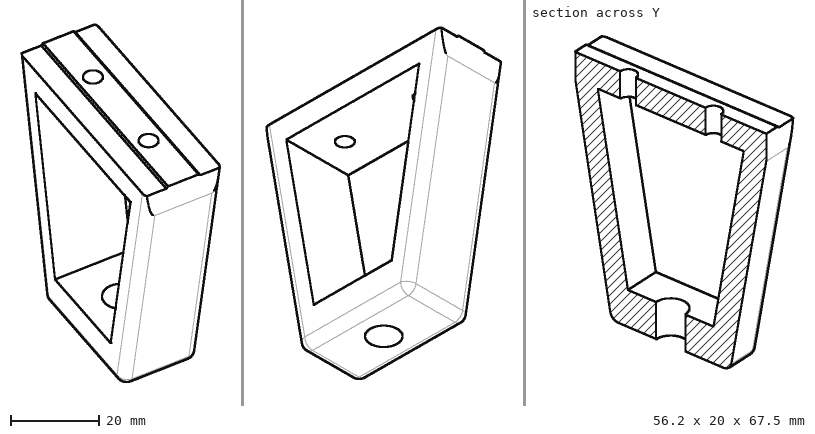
import cadquery as cq
import math

width = 56.15
depth = 20.0
height = 67.5

side_angle = 10.0
edge_radius = 2.5
bar_height = 6.9
window_bottom = 10.0
window_bottom_width = 25.0

strip_height = 0.5
strip_top_width = 8.0
strip_base_width = strip_top_width + 2 * strip_height

mount_hole_diameter = 4.5
mount_hole_spacing = window_bottom_width
base_hole_diameter = 8.5

shoulder = height - strip_height
window_top = shoulder - bar_height
taper = math.tan(math.radians(side_angle))


def tapered_block(bottom_width, bottom, top, thickness):
    """Symmetric block between two heights whose sides lean outward at the side angle."""
    bottom_half = bottom_width / 2
    top_half = bottom_half + (top - bottom) * taper
    return (
        cq.Workplane("XZ")
        .polyline([
            (-bottom_half, bottom),
            (bottom_half, bottom),
            (top_half, top),
            (-top_half, top),
        ])
        .close()
        .extrude(thickness / 2, both=True)
    )


def vertical_hole(x, diameter, bottom, top):
    return (
        cq.Workplane("XY", origin=(x, 0, bottom))
        .circle(diameter / 2)
        .extrude(top - bottom)
    )


def outer_body():
    """Rounded tapered block, cut off flat at the sides of the top bar."""
    base_width = width - 2 * window_top * taper
    block = tapered_block(base_width, 0, shoulder, depth)
    block = block.edges("not(>Z)").fillet(edge_radius)
    side_limit = cq.Workplane("XY").box(width, depth, height, centered=(True, True, False))
    return block.intersect(side_limit)


def top_strip():
    return (
        cq.Workplane("YZ")
        .polyline([
            (-strip_base_width / 2, shoulder),
            (strip_base_width / 2, shoulder),
            (strip_top_width / 2, height),
            (-strip_top_width / 2, height),
        ])
        .close()
        .extrude(width / 2, both=True)
    )


frame = outer_body().union(top_strip())
frame = frame.cut(tapered_block(window_bottom_width, window_bottom, window_top, depth))

for side in (-1, 1):
    hole_x = side * mount_hole_spacing / 2
    frame = frame.cut(vertical_hole(hole_x, mount_hole_diameter, window_top, height))

result = frame.cut(vertical_hole(0, base_hole_diameter, 0, window_bottom))